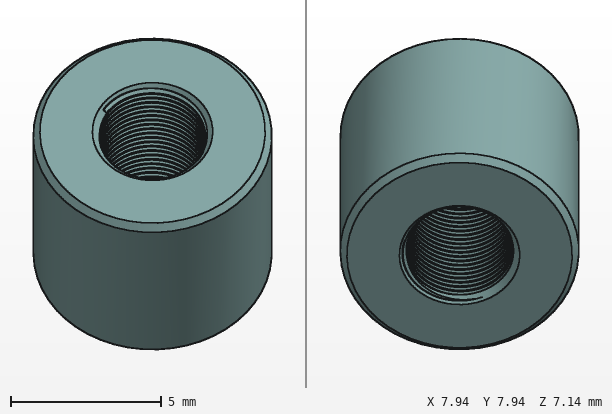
import cadquery as cq

outer_diameter = 7.94
height = 7.14
edge_chamfer = 0.22

bore_radius = 1.77
mouth_radius = 2.0
thread_root_radius = 1.91
thread_root_width = 0.03
thread_mouth_width = 0.175
thread_length = 7.0
thread_turns = 28
thread_pitch = thread_length / thread_turns
cutter_overlap = 0.05


def make_body():
    """Chamfered cylinder standing on the XY plane."""
    cylinder = cq.Workplane("XY").circle(outer_diameter / 2).extrude(height)
    return cylinder.faces("<Z or >Z").chamfer(edge_chamfer)


def make_bore():
    """Through bore at the thread crest, with a 45 degree countersink at each end."""
    countersink_depth = mouth_radius - bore_radius
    return (
        cq.Workplane("XZ")
        .lineTo(mouth_radius, 0)
        .lineTo(bore_radius, countersink_depth)
        .lineTo(bore_radius, height - countersink_depth)
        .lineTo(mouth_radius, height)
        .lineTo(0, height)
        .close()
        .revolve(360, (0, 0, 0), (0, 1, 0))
    )


def make_thread_groove():
    """Right-hand helical V groove with a narrow flat root, starting and ending on the -X side."""
    flank_slope = (thread_mouth_width - thread_root_width) / (thread_root_radius - bore_radius)
    inner_radius = bore_radius - cutter_overlap
    inner_half_width = (thread_mouth_width + flank_slope * cutter_overlap) / 2
    root_half_width = thread_root_width / 2
    path = cq.Wire.makeHelix(thread_pitch, thread_length, bore_radius)
    groove = (
        cq.Workplane("XZ")
        .moveTo(inner_radius, -inner_half_width)
        .lineTo(thread_root_radius, -root_half_width)
        .lineTo(thread_root_radius, root_half_width)
        .lineTo(inner_radius, inner_half_width)
        .close()
        .sweep(cq.Workplane(obj=path), isFrenet=True)
    )
    return groove.rotate((0, 0, 0), (0, 0, 1), 180)


result = make_body().cut(make_bore()).cut(make_thread_groove())